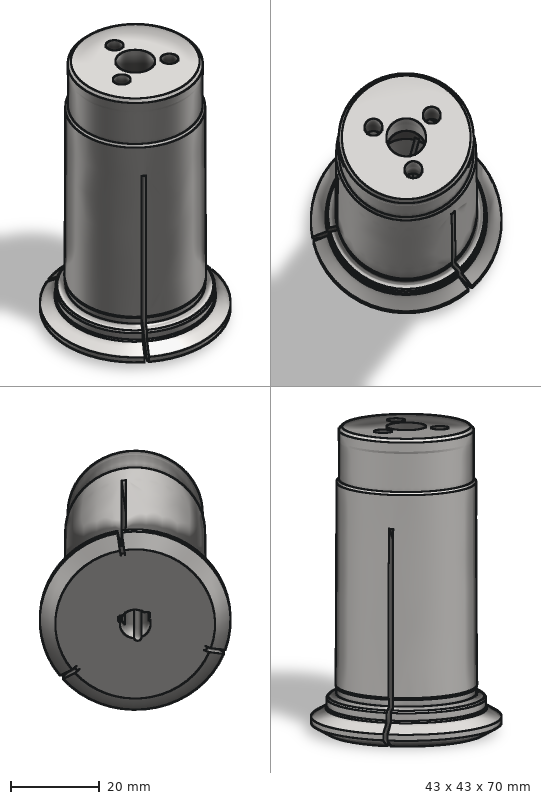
import cadquery as cq
import math

total_height = 70.0
rim_radius = 43.0 / 2

cone_angle = math.radians(30)
flange_radius = 18.0
rim_band_height = 1.4
rim_edge_chamfer = 0.2
flange_top = 8.15
flange_chamfer_width = 0.4
flange_chamfer_height = 0.5
flange_root_width = 0.2
flange_root_height = 0.5

root_fillet_width = 1.0
root_fillet_height = 0.6
relief_radius = 15.8
relief_top = 10.25
barrel_bottom_radius = 16.0
barrel_top_radius = 15.8
barrel_top = 57.3
barrel_bottom_chamfer = 0.5
barrel_top_chamfer = 0.6

head_radius = 30.5 / 2
neck_radius = 15.2
neck_top = 66.6
neck_step_height = 0.5
head_chamfer_radial = 0.75
head_chamfer_height = 0.75

top_hole_radius = 8.92 / 2
cavity_radius = 21.0 / 2
cavity_top = 60.0
cavity_bottom = 54.0
drill_tip_slope = math.radians(30)
middle_radius = 15.5 / 2
middle_bottom = 42.1
bore_radius = 3.45
bore_entry_radius = 4.25
bore_entry_depth = 0.6

repeat_count = 3
repeat_angle = 360 / repeat_count

coolant_hole_diameter = 4.0
coolant_hole_pitch_radius = 7.75
coolant_hole_angle = 30

groove_radius = 0.85
groove_pitch_radius = 3.25
groove_angle = 0

slot_width = 1.0
slot_overrun = 1.0
slot_angle = 60
slot_top_outer = 49.5
slot_top_inner = 43.7
slot_floor_radius = 17.2
slot_floor_inner = 6.5


def body():
    """Solid of revolution with the outer outline of the sleeve."""
    band_bottom = (rim_radius - flange_radius) * math.tan(cone_angle)
    band_top = band_bottom + rim_band_height
    cone_outer_radius = rim_radius - rim_edge_chamfer
    cone_outer_height = band_top + rim_edge_chamfer
    cone_inner_radius = flange_radius + flange_root_width
    cone_rise = (cone_outer_radius - cone_inner_radius) * math.tan(cone_angle)
    cone_inner_height = cone_outer_height + cone_rise
    outline = (
        cq.Workplane("XZ")
        .moveTo(0, 0)
        .lineTo(flange_radius, 0)
        .lineTo(rim_radius, band_bottom)
        .lineTo(rim_radius, band_top)
        .lineTo(cone_outer_radius, cone_outer_height)
        .lineTo(cone_inner_radius, cone_inner_height)
        .lineTo(flange_radius, cone_inner_height + flange_root_height)
        .lineTo(flange_radius, flange_top - flange_chamfer_height)
        .lineTo(flange_radius - flange_chamfer_width, flange_top)
        .lineTo(relief_radius + root_fillet_width, flange_top)
        .tangentArcPoint((relief_radius, flange_top + root_fillet_height), relative=False)
        .lineTo(relief_radius, relief_top)
        .lineTo(barrel_bottom_radius, relief_top + barrel_bottom_chamfer)
        .lineTo(barrel_top_radius, barrel_top)
        .lineTo(neck_radius, barrel_top + barrel_top_chamfer)
        .lineTo(neck_radius, neck_top)
        .lineTo(head_radius, neck_top + neck_step_height)
        .lineTo(head_radius, total_height - head_chamfer_height)
        .lineTo(head_radius - head_chamfer_radial, total_height)
        .lineTo(0, total_height)
        .close()
    )
    return outline.revolve(360, (0, 0, 0), (0, 1, 0))


def stepped_bore():
    """Through bore: top hole, wide cavity, middle bore and shank bore, joined by cones."""
    middle_top = cavity_bottom - (cavity_radius - middle_radius) * math.tan(drill_tip_slope)
    bore_entry_top = middle_bottom - (middle_radius - bore_entry_radius) * math.tan(drill_tip_slope)
    outline = (
        cq.Workplane("XZ")
        .moveTo(0, 0)
        .lineTo(bore_radius, 0)
        .lineTo(bore_radius, bore_entry_top - bore_entry_depth)
        .lineTo(bore_entry_radius, bore_entry_top)
        .lineTo(middle_radius, middle_bottom)
        .lineTo(middle_radius, middle_top)
        .lineTo(cavity_radius, cavity_bottom)
        .lineTo(cavity_radius, cavity_top)
        .lineTo(top_hole_radius, cavity_top)
        .lineTo(top_hole_radius, total_height)
        .lineTo(0, total_height)
        .close()
    )
    return outline.revolve(360, (0, 0, 0), (0, 1, 0))


def coolant_hole(angle):
    """Hole from the top face into the cavity."""
    return (
        cq.Workplane("XY", origin=(0, 0, cavity_top))
        .polarArray(coolant_hole_pitch_radius, angle, 360, 1)
        .circle(coolant_hole_diameter / 2)
        .extrude(total_height - cavity_top)
    )


def bore_groove(angle):
    """Round groove along the wall of the shank bore."""
    return (
        cq.Workplane("XY")
        .polarArray(groove_pitch_radius, angle, 360, 1)
        .circle(groove_radius)
        .extrude(middle_bottom)
    )


def slot(angle):
    """Radial slot with a sloping roof at the top and a sloping floor at the bottom."""
    outer = rim_radius + slot_overrun
    roof_slope = (slot_top_outer - slot_top_inner) / (barrel_top_radius - middle_radius)
    floor_slope = slot_floor_inner / (slot_floor_radius - bore_radius)
    outline = (
        cq.Workplane("XZ", origin=(0, slot_width / 2, 0))
        .moveTo(slot_floor_radius, 0)
        .lineTo(outer, 0)
        .lineTo(outer, slot_top_inner + roof_slope * (outer - middle_radius))
        .lineTo(0, slot_top_inner - roof_slope * middle_radius)
        .lineTo(0, floor_slope * slot_floor_radius)
        .close()
    )
    return outline.extrude(slot_width).rotate((0, 0, 0), (0, 0, 1), angle)


result = body().cut(stepped_bore())
for index in range(repeat_count):
    turn = index * repeat_angle
    result = result.cut(coolant_hole(coolant_hole_angle + turn))
    result = result.cut(bore_groove(groove_angle + turn))
    result = result.cut(slot(slot_angle + turn))